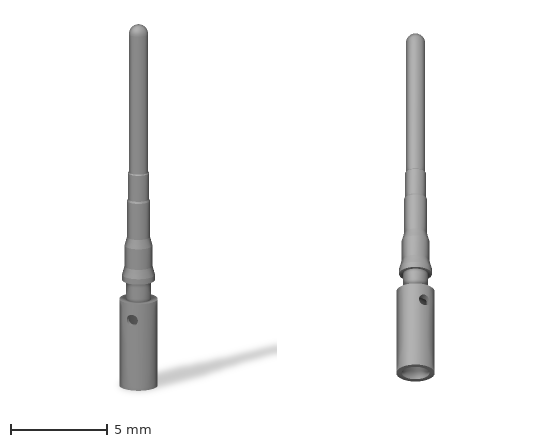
import cadquery as cq
import math

total_height = 19.6
barrel_diameter = 2.0
neck_diameter = 1.31
collar_diameter = 1.7
shoulder_diameter = 1.45
body_diameter = 1.2
step_diameter = 1.1
pin_diameter = 1.0

barrel_top = 4.7
neck_top = 5.72
collar_top = 6.02
collar_cone_top = 6.49
shoulder_top = 7.6
shoulder_cone_top = 8.08
body_top = 10.04
step_top = 11.55

body_cone_height = 0.1
step_cone_height = 0.049

bore_diameter = 1.45
bore_depth = 4.0
drill_point_angle = 118.0

inspection_diameter = 0.6
inspection_height = 3.8


def make_turned_body():
    """Revolve the stepped profile, with cones between steps and a hemispherical tip."""
    pin_radius = pin_diameter / 2
    tip_start = total_height - pin_radius
    body_cone_top = body_top + body_cone_height
    step_cone_top = step_top + step_cone_height
    corners = [
        (barrel_diameter, 0),
        (barrel_diameter, barrel_top),
        (neck_diameter, barrel_top),
        (neck_diameter, neck_top),
        (collar_diameter, neck_top),
        (collar_diameter, collar_top),
        (shoulder_diameter, collar_cone_top),
        (shoulder_diameter, shoulder_top),
        (body_diameter, shoulder_cone_top),
        (body_diameter, body_top),
        (step_diameter, body_cone_top),
        (step_diameter, step_top),
        (pin_diameter, step_cone_top),
        (pin_diameter, tip_start),
    ]
    profile = cq.Workplane("XZ").moveTo(0, 0)
    for diameter, height in corners:
        profile = profile.lineTo(diameter / 2, height)
    arc_offset = pin_radius * math.sqrt(0.5)
    profile = profile.threePointArc((arc_offset, tip_start + arc_offset), (0, total_height))
    return profile.close().revolve(360, (0, 0), (0, 1))


def make_wire_bore():
    """Blind bore on the axis with a conical end."""
    bore_radius = bore_diameter / 2
    cone_height = bore_radius / math.tan(math.radians(drill_point_angle / 2))
    return (
        cq.Workplane("XZ")
        .lineTo(bore_radius, 0)
        .lineTo(bore_radius, bore_depth)
        .lineTo(0, bore_depth + cone_height)
        .close()
        .revolve(360, (0, 0), (0, 1))
    )


def make_inspection_hole():
    """Radial hole from the axis out through the -Y wall."""
    return (
        cq.Workplane("XZ")
        .center(0, inspection_height)
        .circle(inspection_diameter / 2)
        .extrude(barrel_diameter)
    )


result = make_turned_body().cut(make_wire_bore()).cut(make_inspection_hole())